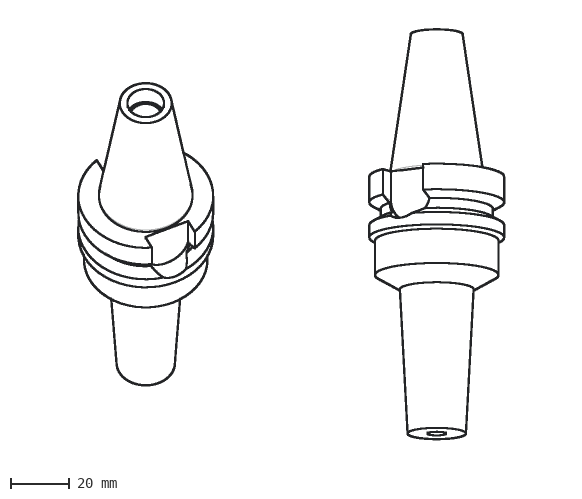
import cadquery as cq
import math

total_height = 138.4
nose_height = 50.0
body_cone_top = 55.0
flange_bottom = 68.0
flange_top = 89.0
taper_length = 48.5
taper_bottom = total_height - taper_length

nose_tip_radius = 10.0
nose_draft = math.radians(3)
nose_root_radius = nose_tip_radius + nose_height * math.tan(nose_draft)
body_radius = 21.0
flange_radius = 23.0
groove_radius = 19.1
taper_large_radius = 15.9
taper_small_radius = taper_large_radius - taper_length * 7 / 48

flank_angle = math.radians(30)
groove_flank_height = (flange_radius - groove_radius) * math.tan(flank_angle)
underside_height = (flange_radius - body_radius) * math.tan(flank_angle)
upper_rim_height = 8.9
lower_rim_height = 4.3
groove_upper_edge = flange_top - upper_rim_height
groove_lower_edge = flange_bottom + lower_rim_height

slot_width = 16.2
slot_depth_below_flange_top = 18.0
slot_floor_distance = 16.3

entry_radius = 6.2
entry_depth = 6.9
thread_bore_radius = 5.4
thread_bore_depth = 24.0
through_radius = 3.2


def revolved_body():
    profile = [
        (0, 0),
        (nose_tip_radius, 0),
        (nose_root_radius, nose_height),
        (body_radius, body_cone_top),
        (body_radius, flange_bottom - underside_height),
        (flange_radius, flange_bottom),
        (flange_radius, groove_lower_edge),
        (groove_radius, groove_lower_edge + groove_flank_height),
        (groove_radius, groove_upper_edge - groove_flank_height),
        (flange_radius, groove_upper_edge),
        (flange_radius, flange_top),
        (taper_large_radius, flange_top),
        (taper_large_radius, taper_bottom),
        (taper_small_radius, total_height),
        (0, total_height),
    ]
    return cq.Workplane("XZ").polyline(profile).close().revolve(360, (0, 0), (0, 1))


def drive_slot():
    """Round-bottomed slot on the +X side, open at the flange top."""
    half_width = slot_width / 2
    slot_bottom = flange_top - slot_depth_below_flange_top
    arc_center = slot_bottom + half_width
    return (
        cq.Workplane("YZ", origin=(slot_floor_distance, 0, 0))
        .moveTo(-half_width, flange_top)
        .lineTo(-half_width, arc_center)
        .threePointArc((0, slot_bottom), (half_width, arc_center))
        .lineTo(half_width, flange_top)
        .close()
        .extrude(flange_radius)
    )


def top_bore(radius, depth):
    return cq.Workplane("XY", origin=(0, 0, total_height)).circle(radius).extrude(-depth)


result = revolved_body()

for slot_angle in (0, 180):
    result = result.cut(drive_slot().rotate((0, 0, 0), (0, 0, 1), slot_angle))

for bore_radius, bore_depth in (
    (entry_radius, entry_depth),
    (thread_bore_radius, thread_bore_depth),
    (through_radius, total_height),
):
    result = result.cut(top_bore(bore_radius, bore_depth))